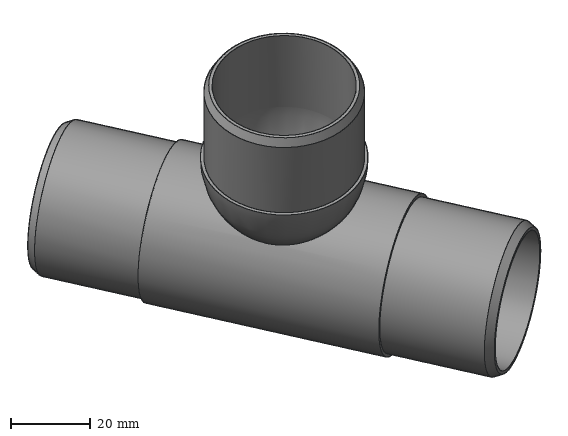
import cadquery as cq
import math

run_length = 124.0
body_length = 64.0
body_radius = 21.2

pipe_radius = 20.3
bore_radius = 18.2
bevel_length = 2.2
bevel_depth = 1.2

branch_top = 57.0
bowl_top = 32.0
bowl_bottom = 9.9
bowl_outer_arc = 25.0
bowl_inner_arc = 28.3


def bowl_radius(rim_radius, arc_radius, height):
    """Radius of the bowl at a height; its side is an arc that is vertical at the rim."""
    drop = bowl_top - height
    return rim_radius - arc_radius + math.sqrt(arc_radius**2 - drop**2)


def branch_solid(rim_radius, arc_radius, neck_radius, bevel):
    """Round bowl with a straight neck above it, bevelled inwards at the top."""
    middle_height = (bowl_top + bowl_bottom) / 2
    profile = (
        cq.Workplane("XZ")
        .moveTo(0, bowl_bottom)
        .lineTo(bowl_radius(rim_radius, arc_radius, bowl_bottom), bowl_bottom)
        .threePointArc(
            (bowl_radius(rim_radius, arc_radius, middle_height), middle_height),
            (rim_radius, bowl_top),
        )
        .lineTo(0, bowl_top)
        .close()
    )
    bowl = profile.revolve(360, (0, 0, 0), (0, 1, 0))
    neck = cq.Workplane("XY").workplane(offset=bowl_top).circle(neck_radius).extrude(branch_top - bowl_top)
    if bevel:
        neck = neck.faces(">Z").chamfer(bevel_length, bevel_depth)
    return bowl.union(neck)


def run_cylinder(radius, length):
    """Cylinder along X, centred on the origin."""
    return cq.Workplane("YZ").circle(radius).extrude(length / 2, both=True)


run_pipe = run_cylinder(pipe_radius, run_length).faces("<X or >X").chamfer(bevel_length, bevel_depth)
outside = run_pipe.union(run_cylinder(body_radius, body_length))
outside = outside.union(branch_solid(body_radius, bowl_outer_arc, pipe_radius, bevel=True))

run_bore = run_cylinder(bore_radius, run_length)
branch_bore = branch_solid(bore_radius, bowl_inner_arc, bore_radius, bevel=False)

result = outside.cut(run_bore).cut(branch_bore)